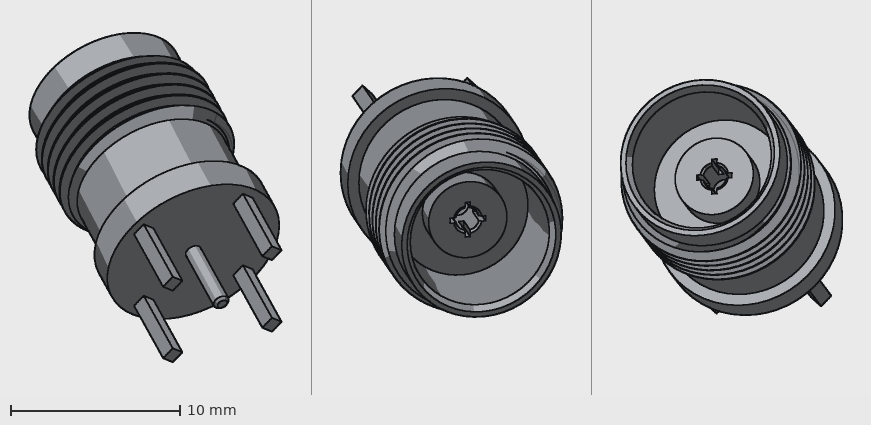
import cadquery as cq
import math

total_length = 18.22
body_radius = 4.83
outer_radius = 5.5
flange_start = 11.72
flange_end = 13.72

thread_start = 2.0
thread_end = 7.42
thread_depth = 0.51
thread_root_radius = outer_radius - thread_depth
thread_pitch = 0.91
crest_flat = thread_pitch / 8
flank_angle = 30.0
first_groove_x = 2.0
turns_before_collar = 1
thread_turns = 8
blank_seam_angle = 37.0
end_chamfer = outer_radius - body_radius

mouth_radius = 4.5
mouth_inner_radius = 4.2
mouth_chamfer_depth = 0.45
floor_radius = 4.03
socket_depth = 5.47
insulator_radius = 2.37
insulator_face = 3.74

contact_bore_radius = 0.71
contact_mouth_radius = 0.85
contact_bore_depth = 2.92
contact_tip_angle = 118.0
slot_width = 0.31
slot_outer_radius = 1.07
slot_depth = 1.82

pin_offset = 3.17
pin_diagonal = 1.24
centre_pin_radius = 0.5
centre_pin_chamfer = 0.18


def revolve_about_x(points):
    """Turn a closed (x, radius) outline about the X axis."""
    return cq.Workplane("XY").polyline(points).close().revolve(360, (0, 0, 0), (1, 0, 0))


def make_housing():
    barrel = cq.Workplane("YZ").circle(body_radius).extrude(flange_end)
    flange = (
        cq.Workplane("YZ", origin=(flange_start, 0, 0))
        .circle(outer_radius)
        .extrude(flange_end - flange_start)
    )
    return barrel.union(flange)


def make_thread_groove():
    """Right-handed trapezoidal groove that runs out past both ends of the collar."""
    clearance = 0.1
    slope = math.tan(math.radians(flank_angle))
    top_half_width = (thread_pitch - crest_flat) / 2
    root_half_width = top_half_width - thread_depth * slope
    cutter_half_width = top_half_width + clearance * slope
    cutter_radius = outer_radius + clearance

    groove_length = thread_pitch * thread_turns
    root_helix = cq.Wire.makeHelix(thread_pitch, groove_length, thread_root_radius)
    guide_helix = cq.Wire.makeHelix(thread_pitch, groove_length, cutter_radius)
    groove = (
        cq.Workplane("XZ")
        .polyline([
            (thread_root_radius, -root_half_width),
            (cutter_radius, -cutter_half_width),
            (cutter_radius, cutter_half_width),
            (thread_root_radius, root_half_width),
        ])
        .close()
        .sweep(cq.Workplane(root_helix), auxSpine=cq.Workplane(guide_helix))
    )
    groove = groove.rotate((0, 0, 0), (0, 1, 0), 90)
    half_turn_advance = thread_pitch / 2
    helix_start = first_groove_x - half_turn_advance - turns_before_collar * thread_pitch
    return groove.translate((helix_start, 0, 0))


def make_threaded_collar():
    blank = revolve_about_x([
        (thread_start, floor_radius),
        (thread_start, body_radius),
        (thread_start + end_chamfer, outer_radius),
        (thread_end - end_chamfer, outer_radius),
        (thread_end, body_radius),
        (thread_end, floor_radius),
    ])
    blank = blank.rotate((0, 0, 0), (1, 0, 0), blank_seam_angle)
    return blank.cut(make_thread_groove())


def make_socket():
    """Tapered cavity with the round insulator left standing on its floor."""
    return revolve_about_x([
        (0, 0),
        (0, mouth_radius),
        (mouth_chamfer_depth, mouth_inner_radius),
        (socket_depth, floor_radius),
        (socket_depth, insulator_radius),
        (insulator_face, insulator_radius),
        (insulator_face, 0),
    ])


def make_contact_opening():
    """Countersunk bore with a conical bottom and four radial slots."""
    countersink_depth = contact_mouth_radius - contact_bore_radius
    tip_depth = contact_bore_radius / math.tan(math.radians(contact_tip_angle / 2))
    bore_end = insulator_face + contact_bore_depth
    opening = revolve_about_x([
        (insulator_face, 0),
        (insulator_face, contact_mouth_radius),
        (insulator_face + countersink_depth, contact_bore_radius),
        (bore_end, contact_bore_radius),
        (bore_end + tip_depth, 0),
    ])
    for length_y, length_z in [
        (2 * slot_outer_radius, slot_width),
        (slot_width, 2 * slot_outer_radius),
    ]:
        slot = (
            cq.Workplane("YZ", origin=(insulator_face, 0, 0))
            .rect(length_y, length_z)
            .extrude(slot_depth)
        )
        opening = opening.union(slot)
    return opening


def make_pins():
    pin_length = total_length - flange_end
    pin_plane = cq.Workplane("YZ", origin=(flange_end, 0, 0))
    ground_pins = (
        pin_plane.rect(2 * pin_offset, 2 * pin_offset, forConstruction=True)
        .vertices()
        .polygon(4, pin_diagonal)
        .extrude(pin_length)
    )
    centre_pin = (
        pin_plane.circle(centre_pin_radius)
        .extrude(pin_length)
        .faces(">X")
        .chamfer(centre_pin_chamfer)
    )
    return ground_pins.union(centre_pin)


result = (
    make_housing()
    .union(make_threaded_collar())
    .cut(make_socket())
    .cut(make_contact_opening())
    .union(make_pins())
)